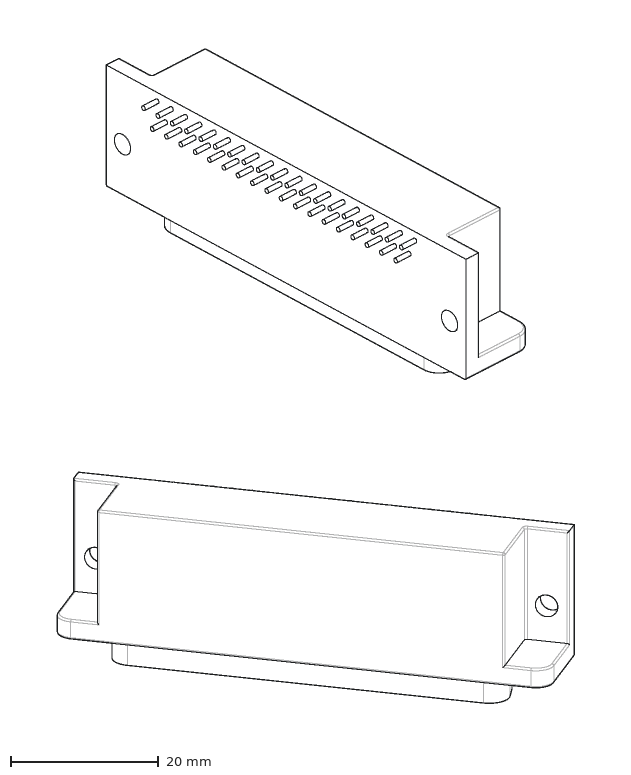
import cadquery as cq
import math

tolerance = 0.01

width = 69.65
depth = 12.7
height = 19.2
back_corner_radius = 2.5

notch_width = 6.2
flange_thickness = 2.6
lip_thickness = 2.85
edge_radius = 0.3
notch_corner_radius = 0.35

hole_spacing = 63.3
hole_diameter = 3.1
hole_height = 8.0

plug_width = 55.7
plug_height = 3.8
plug_front = 2.1
plug_back = 10.45
plug_radius = 2.85
plug_side_angle = math.radians(10)

pin_diameter = 0.7
pin_length = 2.6
pin_pitch = 2.77
upper_pin_count = 19
lower_pin_count = 18
upper_row_height = 17.8
pin_row_spacing = 2.6
lower_row_shift = 0.3
lower_row_height = upper_row_height - pin_row_spacing
pin_embed = 0.7


def make_housing():
    """Block with rounded back corners, an open notch at each end and softened outer edges."""
    block = (
        cq.Workplane("XY")
        .box(width, depth, height, centered=(True, False, False))
        .edges("|Z and >Y")
        .fillet(back_corner_radius)
    )
    for side in (-1, 1):
        notch = (
            cq.Workplane("XY")
            .box(2 * notch_width, depth, height, centered=(True, False, False))
            .edges("|Z and <Y")
            .edges("<X" if side > 0 else ">X")
            .fillet(notch_corner_radius)
            .translate((side * width / 2, flange_thickness, lip_thickness))
        )
        block = block.cut(notch)
    return block.newObject(softened_edges(block)).fillet(edge_radius)


def softened_edges(block):
    """Outer convex edges of the block that lie clear of the front face and the flange tops."""
    wall_x = width / 2 - notch_width
    chosen = []
    for edge in block.edges().vals():
        middle = edge.positionAt(0.5)
        x, y, z = abs(middle.x), middle.y, middle.z
        if y < tolerance:
            continue
        on_bottom = z < tolerance
        on_top = z > height - tolerance and y > flange_thickness - tolerance
        on_flange_end = x > width / 2 - tolerance and abs(y - flange_thickness) < tolerance
        on_wall_back = abs(x - wall_x) < tolerance and y > depth - tolerance
        on_lip = (
            abs(z - lip_thickness) < tolerance
            and x > wall_x + tolerance
            and y > flange_thickness + notch_corner_radius
        )
        if on_bottom or on_top or on_flange_end or on_wall_back or on_lip:
            chosen.append(edge)
    return chosen


def make_mounting_holes():
    """Pair of cylinders running front to back through the flange."""
    return (
        cq.Workplane("XZ", origin=(0, 0, hole_height))
        .pushPoints([(-hole_spacing / 2, 0), (hole_spacing / 2, 0)])
        .circle(hole_diameter / 2)
        .extrude(-depth)
    )


def make_plug():
    """Trapezoid whose rounded back corners just reach the full plug width."""
    corner_overhang = plug_radius * (1 + math.sin(plug_side_angle)) / math.cos(plug_side_angle)
    back_half = plug_width / 2 - plug_radius + corner_overhang
    front_half = back_half - (plug_back - plug_front) * math.tan(plug_side_angle)
    corners = [
        (-front_half, plug_front),
        (front_half, plug_front),
        (back_half, plug_back),
        (-back_half, plug_back),
    ]
    return (
        cq.Workplane("XY")
        .polyline(corners)
        .close()
        .extrude(-plug_height)
        .edges("|Z")
        .fillet(plug_radius)
    )


def make_pin_row(count, row_height, shift):
    """Evenly pitched round pins that start inside the housing and stick out of its front."""
    return (
        cq.Workplane("XZ", origin=(shift, pin_embed, row_height))
        .rarray(pin_pitch, 0.7, count, 1)
        .circle(pin_diameter / 2)
        .extrude(pin_length + pin_embed)
    )


result = (
    make_housing()
    .cut(make_mounting_holes())
    .union(make_plug())
    .union(make_pin_row(upper_pin_count, upper_row_height, 0))
    .union(make_pin_row(lower_pin_count, lower_row_height, lower_row_shift))
)